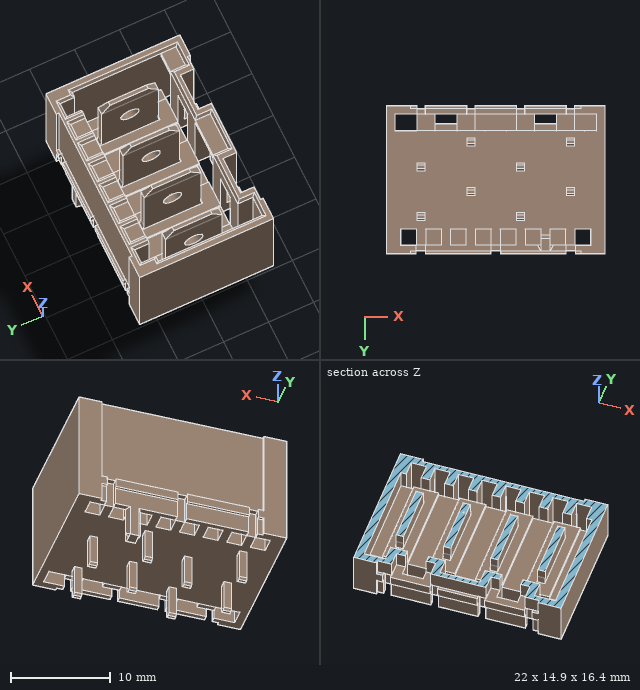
import cadquery as cq

LENGTH, WIDTH, HEIGHT = 22.0, 14.9, 12.8
HALF_LENGTH, HALF_WIDTH = LENGTH / 2, WIDTH / 2
TAIL_LENGTH = 3.6

RELIEF_HALF_LENGTH = 8.55
RELIEF_DEPTH = 0.3
BAND_BOTTOM, BAND_TOP = 2.0, 3.0
OUTER_FACE = HALF_WIDTH - RELIEF_DEPTH

LEAD_IN = 0.3
LEAD_IN_BOTTOM = HEIGHT - LEAD_IN
CAVITY_HALF_LENGTH = 10.1
CAVITY_FRONT, CAVITY_REAR = -4.93, 4.95
FLOOR_TOP = 2.7
PAD_WIDTH, PAD_TOP = 2.8, BAND_TOP
FIRST_PAD_TRIM = 0.15
LID_BOTTOM = HEIGHT - 1.0

SLOT_COUNT = 8
SLOT_PITCH = 2.5
SLOT_WIDTH = 1.56
SLOT_REAR = 6.56
SLOT_FIRST = -SLOT_PITCH * (SLOT_COUNT - 1) / 2
SLOT_OUTER_END = -SLOT_FIRST + SLOT_WIDTH / 2

BAY_FRONT = -6.6
SIDE_BAY_INNER_END = 7.92
MIDDLE_BAY_HALF_LENGTH = 2.08

LATCH_X = 5.0
RECESS_WIDTH = 4.1
RECESS_REAR = -5.64
WINDOW_WIDTH = 2.2
WINDOW_TOP = 10.1

FRONT_NOTCH_WIDTH = 0.8
CHANNEL_TOP = 1.0
OUTER_REAR_NOTCH_X, OUTER_REAR_NOTCH_WIDTH = 7.53, 0.94
MIDDLE_REAR_NOTCH_WIDTH = 1.0

CONTACT_CENTERS = (-7.5, -2.5, 2.5, 7.5)
CONTACT_THICKNESS = 0.8
BLADE_CENTER_Y = -0.05
BLADE_HALF_WIDTH = 3.15
BLADE_SHOULDER, BLADE_TOP = 11.4, 12.3
BLADE_TIP_HALF_WIDTH, BLADE_TIP_THICKNESS = 2.12, 0.42
FOOT_FLARE, FOOT_TOP = 0.18, 3.63
BLADE_HOLE_DIAMETER, BLADE_HOLE_Z = 2.0, 8.0

TAIL_REAR_Y = 3.7
TAIL_SPACING = 5.0
TAIL_STAGGER = TAIL_SPACING / 2
TAIL_WIDTH = 0.8
TAIL_CHAMFER = 0.22

PEG_X = 5.0
PEG_FRONT, PEG_STEP, PEG_REAR = 5.55, 6.56, 7.15
PEG_HALF_WIDTH, PEG_STEM_HALF_WIDTH = 0.8, 0.47
PEG_SIDE_TAPER = 0.5
PEG_CHAMFER = 0.35


def block(x0, x1, y0, y1, z0, z1):
    """Box between two opposite corners."""
    return cq.Workplane("XY").box(x1 - x0, y1 - y0, z1 - z0, centered=False).translate((x0, y0, z0))


def frustum(lower, upper, z0, z1):
    """Solid between two rectangles, each given as (x0, x1, y0, y1)."""
    def rectangle(plane, bounds):
        x0, x1, y0, y1 = bounds
        return plane.center((x0 + x1) / 2, (y0 + y1) / 2).rect(x1 - x0, y1 - y0)

    base = rectangle(cq.Workplane("XY", origin=(0, 0, z0)), lower)
    top_plane = base.workplane(offset=z1 - z0, origin=(0, 0, 0))
    return rectangle(top_plane, upper).loft(ruled=True)


def flared_cut(bounds, bottom, left=True, right=True, front=True, rear=True):
    """Rectangular cutter whose chosen sides open out into a lead-in at the top."""
    x0, x1, y0, y1 = bounds
    mouth = (x0 - LEAD_IN * left, x1 + LEAD_IN * right, y0 - LEAD_IN * front, y1 + LEAD_IN * rear)
    shaft = block(x0, x1, y0, y1, bottom, LEAD_IN_BOTTOM)
    return shaft.union(frustum(bounds, mouth, LEAD_IN_BOTTOM, HEIGHT))


def slot_bounds(index):
    x = SLOT_FIRST + index * SLOT_PITCH
    return (x - SLOT_WIDTH / 2, x + SLOT_WIDTH / 2, CAVITY_REAR, SLOT_REAR)


def bay_bounds(x0, x1):
    return (x0, x1, BAY_FRONT, CAVITY_FRONT)


LEFT_BAY = bay_bounds(-CAVITY_HALF_LENGTH, -SIDE_BAY_INNER_END)
MIDDLE_BAY = bay_bounds(-MIDDLE_BAY_HALF_LENGTH, MIDDLE_BAY_HALF_LENGTH)
RIGHT_BAY = bay_bounds(SIDE_BAY_INNER_END, CAVITY_HALF_LENGTH)


def make_shell():
    """Outer block with relieved front and rear faces and a band across each."""
    shell = block(-HALF_LENGTH, HALF_LENGTH, -OUTER_FACE, OUTER_FACE, 0, HEIGHT)
    for x0, x1 in ((-HALF_LENGTH, -RELIEF_HALF_LENGTH), (RELIEF_HALF_LENGTH, HALF_LENGTH)):
        shell = shell.union(block(x0, x1, -HALF_WIDTH, HALF_WIDTH, 0, HEIGHT))
    return shell.union(block(-HALF_LENGTH, HALF_LENGTH, -HALF_WIDTH, HALF_WIDTH, BAND_BOTTOM, BAND_TOP))


def cut_cavity(body):
    """Main cavity, keying slots and keying bays."""
    main = (-CAVITY_HALF_LENGTH, CAVITY_HALF_LENGTH, CAVITY_FRONT, CAVITY_REAR)
    body = body.cut(flared_cut(main, FLOOR_TOP, rear=False))
    for x0, x1 in ((-CAVITY_HALF_LENGTH, -SLOT_OUTER_END), (SLOT_OUTER_END, CAVITY_HALF_LENGTH)):
        corner = (x0, x1, CAVITY_FRONT, CAVITY_REAR)
        body = body.cut(flared_cut(corner, FLOOR_TOP, left=x0 < 0, right=x0 > 0, front=False))
    for index in range(SLOT_COUNT):
        body = body.cut(flared_cut(slot_bounds(index), 0, front=False))
    for bay in (LEFT_BAY, MIDDLE_BAY, RIGHT_BAY):
        body = body.cut(flared_cut(bay, 0, rear=False))
    return body


def add_lids(body):
    """Close the tops of the inner slots and of the middle and right bays."""
    inner_slots = [slot_bounds(index) for index in range(1, SLOT_COUNT - 1)]
    for bounds in inner_slots + [MIDDLE_BAY, RIGHT_BAY]:
        body = body.union(block(*bounds, LID_BOTTOM, LEAD_IN_BOTTOM))
    return body


def cut_latch_recesses(body):
    for x in (-LATCH_X, LATCH_X):
        recess = (x - RECESS_WIDTH / 2, x + RECESS_WIDTH / 2)
        window = (x - WINDOW_WIDTH / 2, x + WINDOW_WIDTH / 2)
        body = body.cut(block(*recess, -OUTER_FACE, RECESS_REAR, BAND_TOP, HEIGHT))
        body = body.cut(block(*window, BAY_FRONT, CAVITY_FRONT, 0, WINDOW_TOP))
    return body


def cut_notches(body):
    """Notches in both walls, with the front ones opening into a channel under the wall."""
    body = body.cut(
        block(-CAVITY_HALF_LENGTH, CAVITY_HALF_LENGTH, BAY_FRONT, CAVITY_FRONT, 0, CHANNEL_TOP)
    )
    for x in CONTACT_CENTERS:
        half = FRONT_NOTCH_WIDTH / 2
        body = body.cut(block(x - half, x + half, -HALF_WIDTH, BAY_FRONT, 0, BAND_TOP))
    rear_notches = (
        (-OUTER_REAR_NOTCH_X, OUTER_REAR_NOTCH_WIDTH),
        (0, MIDDLE_REAR_NOTCH_WIDTH),
        (OUTER_REAR_NOTCH_X, OUTER_REAR_NOTCH_WIDTH),
    )
    for x, width in rear_notches:
        half = width / 2
        body = body.cut(block(x - half, x + half, SLOT_REAR, HALF_WIDTH, 0, BAND_TOP))
    return body


def make_blade(x):
    """Contact blade with a flared foot, a tapered tip and a cross hole."""
    half = CONTACT_THICKNESS / 2
    front, rear = BLADE_CENTER_Y - BLADE_HALF_WIDTH, BLADE_CENTER_Y + BLADE_HALF_WIDTH
    foot = (x - half, x + half, front - FOOT_FLARE, rear + FOOT_FLARE)
    shank = (x - half, x + half, front, rear)
    tip = (
        x - BLADE_TIP_THICKNESS / 2,
        x + BLADE_TIP_THICKNESS / 2,
        BLADE_CENTER_Y - BLADE_TIP_HALF_WIDTH,
        BLADE_CENTER_Y + BLADE_TIP_HALF_WIDTH,
    )
    blade = frustum(foot, shank, PAD_TOP, FOOT_TOP)
    blade = blade.union(block(*shank, 0, BLADE_SHOULDER))
    blade = blade.union(frustum(shank, tip, BLADE_SHOULDER, BLADE_TOP))
    hole = (
        cq.Workplane("YZ", origin=(x, 0, 0))
        .center(BLADE_CENTER_Y, BLADE_HOLE_Z)
        .circle(BLADE_HOLE_DIAMETER / 2)
        .extrude(half, both=True)
    )
    return blade.cut(hole)


def make_tail(x, y):
    half_x, half_y = CONTACT_THICKNESS / 2, TAIL_WIDTH / 2
    tail = block(x - half_x, x + half_x, y - half_y, y + half_y, -TAIL_LENGTH, FLOOR_TOP)
    return tail.faces("<Z").edges("|X").chamfer(TAIL_CHAMFER)


def add_contacts(body):
    """Raised floor pads, each carrying a blade with two solder tails below."""
    for index, x in enumerate(CONTACT_CENTERS):
        half = PAD_WIDTH / 2
        trim = FIRST_PAD_TRIM if index == 0 else 0
        left = x - half + trim
        body = body.union(block(left, x + half, CAVITY_FRONT, CAVITY_REAR, 0, PAD_TOP))
        body = body.union(make_blade(x))
        rear_tail = TAIL_REAR_Y - TAIL_STAGGER * (index % 2)
        for y in (rear_tail, rear_tail - TAIL_SPACING):
            body = body.union(make_tail(x, y))
    return body


def make_peg():
    """Locating peg below the rear wall."""
    half_stem = PEG_STEM_HALF_WIDTH
    stem = block(-half_stem, half_stem, PEG_FRONT, PEG_STEP, -TAIL_LENGTH, FLOOR_TOP)
    stem = stem.faces("<Z").edges("<Y").chamfer(PEG_CHAMFER)
    head = (
        cq.Workplane("XY", origin=(0, 0, -TAIL_LENGTH))
        .polyline([
            (-PEG_HALF_WIDTH, PEG_STEP),
            (PEG_HALF_WIDTH, PEG_STEP),
            (half_stem, PEG_REAR),
            (-half_stem, PEG_REAR),
        ])
        .close()
        .extrude(TAIL_LENGTH + BAND_BOTTOM)
    )
    side_taper = (
        cq.Workplane("XZ", origin=(0, PEG_REAR, 0))
        .polyline([
            (-half_stem, -TAIL_LENGTH),
            (half_stem, -TAIL_LENGTH),
            (PEG_HALF_WIDTH, PEG_SIDE_TAPER - TAIL_LENGTH),
            (PEG_HALF_WIDTH, BAND_BOTTOM),
            (-PEG_HALF_WIDTH, BAND_BOTTOM),
            (-PEG_HALF_WIDTH, PEG_SIDE_TAPER - TAIL_LENGTH),
        ])
        .close()
        .extrude(PEG_REAR - PEG_STEP)
    )
    return stem.union(head.intersect(side_taper)).translate((PEG_X, 0, 0))


housing = cut_cavity(make_shell())
housing = add_lids(housing)
housing = cut_latch_recesses(housing)
housing = cut_notches(housing)
result = add_contacts(housing).union(make_peg())